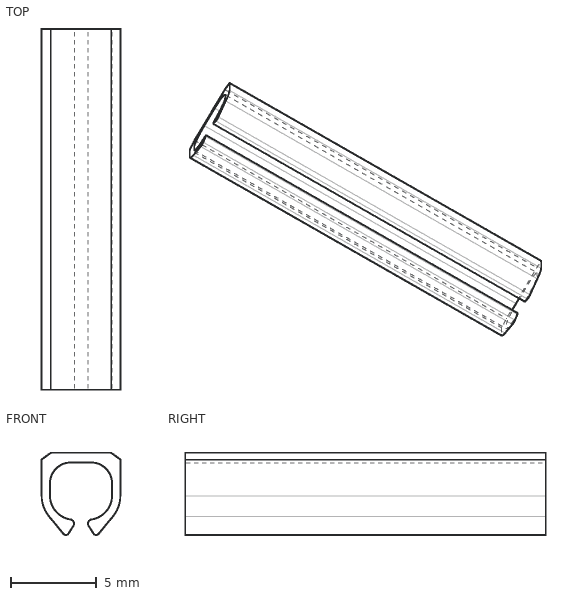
import cadquery as cq
import math

LENGTH = 21.0
WIDTH = 4.6
HEIGHT = 4.8

WALL = 0.5
ROOF = 0.58
CHAMFER_ACROSS = 0.55
CHAMFER_DOWN = 0.4

FLANK_RADIUS = 1.9
FLANK_DEPTH = 2.5
BORE_TOP_RADIUS = 1.2
BORE_LOW_RADIUS = 1.4
BORE_LOW_DEPTH = 2.5

SLOT_WIDTH = 0.8
LIP_RADIUS = 0.25
TIP_RADIUS = 0.18
TIP_OFFSET = 0.88


def on_circle(center, radius, angle):
    """Point on a circle at an angle in radians from +X."""
    return (center[0] + radius * math.cos(angle), center[1] + radius * math.sin(angle))


def tangent_angle(start, start_radius, end, end_radius):
    """Angle of both contact points of the common tangent on the right of start -> end."""
    dx = end[0] - start[0]
    dz = end[1] - start[1]
    heading = math.atan2(dz, dx)
    return heading - math.acos((start_radius - end_radius) / math.hypot(dx, dz))


def half_section():
    """Left half of the section, walked anticlockwise from the top middle."""
    outer_x = -WIDTH / 2
    inner_x = outer_x + WALL

    flank = (outer_x + FLANK_RADIUS, -FLANK_DEPTH)
    tip = (-TIP_OFFSET, -HEIGHT + TIP_RADIUS)
    bore_low = (inner_x + BORE_LOW_RADIUS, -BORE_LOW_DEPTH)
    bore_top = (inner_x + BORE_TOP_RADIUS, -ROOF - BORE_TOP_RADIUS)

    lip_x = -SLOT_WIDTH / 2 - LIP_RADIUS
    lip_drop = math.sqrt((BORE_LOW_RADIUS + LIP_RADIUS) ** 2 - (lip_x - bore_low[0]) ** 2)
    lip = (lip_x, bore_low[1] - lip_drop)

    flank_end = tangent_angle(flank, FLANK_RADIUS, tip, TIP_RADIUS)
    tip_end = tangent_angle(tip, TIP_RADIUS, lip, LIP_RADIUS)
    bore_start = math.atan2(lip[1] - bore_low[1], lip[0] - bore_low[0])
    lip_end = bore_start + math.pi
    flank_mid = (flank_end - math.pi) / 2
    bore_mid = (bore_start - math.pi) / 2

    return (
        cq.Workplane("XZ")
        .moveTo(0, 0)
        .lineTo(outer_x + CHAMFER_ACROSS, 0)
        .lineTo(outer_x, -CHAMFER_DOWN)
        .lineTo(outer_x, -FLANK_DEPTH)
        .threePointArc(
            on_circle(flank, FLANK_RADIUS, flank_mid),
            on_circle(flank, FLANK_RADIUS, flank_end),
        )
        .lineTo(*on_circle(tip, TIP_RADIUS, flank_end))
        .threePointArc(
            on_circle(tip, TIP_RADIUS, -math.pi / 2),
            on_circle(tip, TIP_RADIUS, tip_end),
        )
        .lineTo(*on_circle(lip, LIP_RADIUS, tip_end))
        .threePointArc(
            on_circle(lip, LIP_RADIUS, (tip_end + lip_end) / 2),
            on_circle(lip, LIP_RADIUS, lip_end),
        )
        .threePointArc(
            on_circle(bore_low, BORE_LOW_RADIUS, bore_mid),
            (inner_x, -BORE_LOW_DEPTH),
        )
        .lineTo(inner_x, bore_top[1])
        .threePointArc(
            on_circle(bore_top, BORE_TOP_RADIUS, math.radians(135)),
            (bore_top[0], -ROOF),
        )
        .lineTo(0, -ROOF)
        .close()
    )


left_half = half_section().extrude(LENGTH / 2, both=True)
result = left_half.union(left_half.mirror("YZ")).clean()